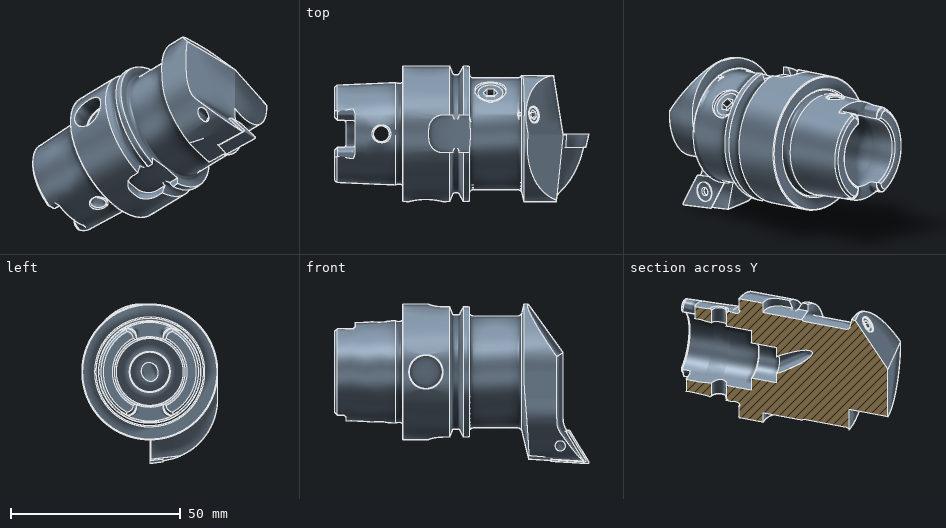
import cadquery as cq
import math

Vec = cq.Vector

SHANK_START_X = -20.0
SHANK_CHAMFER = 0.7
SHANK_TIP_RADIUS = 14.35
SHANK_ROOT_RADIUS = 15.1
SHANK_TAPER_END_X = -2.1
RELIEF_RADIUS = 14.9
FACE_RELIEF_START_X = -0.85
FACE_RELIEF_RADIUS = 16.2
FACE_RELIEF_DEPTH = 0.4
BORE_RADIUS = 10.4
BORE_MOUTH_CHAMFER = 0.6
BORE_CONE_START_X = -12.0
BORE_CONE_END_X = -6.4
INNER_BORE_RADIUS = 9.85
BORE_FLOOR_X = 4.0
COOLANT_THREAD_RADIUS = 5.8
COOLANT_THREAD_CHAMFER = 0.25
COOLANT_THREAD_END_X = 12.0
COOLANT_DUCT_RADIUS = 2.4
COOLANT_DUCT_OVERLAP = 3.0
CROSS_HOLE_X = -6.2
CROSS_HOLE_RADIUS = 2.3
CROSS_HOLE_MOUTH_RADIUS = 2.8
CROSS_HOLE_MOUTH_DEPTH = 0.5

SLOT_HALF_WIDTH = 3.95
SLOT_LIP_Z = 10.6
SLOT_LIP_RADIUS = 2.2
SLOT_FLARE_ANGLE = 14.0
SLOT_END_FILLET = 0.8
SLOT_MOUTH_CHAMFER = 0.9
TOP_SLOT_END_X = -13.9
BOTTOM_SLOT_END_X = -16.6

FLANGE_RADIUS = 20.0
FLANGE_EDGE_CHAMFER = 0.25
GROOVE_START_X = 13.9
GROOVE_ROOT_RADIUS = 17.4
GROOVE_ROOT_START_X = 15.0
GROOVE_ROOT_END_X = 16.5
GROOVE_ROOT_FILLET = 0.6
COLLAR_START_X = 17.95
COLLAR_END_X = 19.75
COLLAR_CHAMFER_LENGTH = 0.7
COLLAR_CHAMFER_HEIGHT = 0.15
POCKET_START_X = 7.75
POCKET_HALF_WIDTH = 5.55
POCKET_CORNER_RADIUS = 4.2
POCKET_FLOOR_Z = 16.87
CHIP_HOLE_X = 6.9
CHIP_HOLE_RADIUS = 5.05
CHIP_HOLE_DEPTH = 5.6
CHIP_HOLE_FLOOR_CHAMFER = 0.2

NECK_RADIUS = 16.5
NECK_FILLET = 1.1
NECK_START_X = COLLAR_END_X + NECK_FILLET
NECK_END_X = 33.9
HEAD_FILLET_LENGTH = 1.1
HEAD_FILLET_HEIGHT = 0.6

BACK_CONE_START_X = 34.9
BACK_CONE_SLOPE = 0.24
HEAD_RADIUS = 20.0
CUTTING_RADIUS = 27.0
FLAT_BOTTOM_Z = -7.86
HEEL_END_Y = -6.5
HEEL_END_Z = -25.65
LOBE_RADIUS = 15.26
LOBE_CENTER_Y = 1.9
LOBE_CENTER_Z = 4.84
LOBE_START_Y = 4.0
SEAT_FACE_Y = -0.3
NOSE_X = 47.3
SLOPE_TOP_X = 37.0
SLOPE_TOP_Z = HEAD_RADIUS
SLOPE_BOTTOM_Z = 5.7
FLARE_FILLET = 6.0
FLARE_INSET = 0.75
NEAR_SIDE_DIRECTION = Vec(-2.0, -19.7, -1.2)
FAR_SIDE_DIRECTION = Vec(-2.8, 17.4, 0.0)
SIDE_SWEEP_SCALE = 1.3
HEAD_BLANK_START_X = 33.0
HEAD_BLANK_END_X = 58.0
HEAD_BLANK_RADIUS = 30.0

TIP_REACH_X = 54.91
INSERT_EDGE = 11.6
INSERT_CORNER_ANGLE = 55.0
INSERT_THICKNESS = 3.97
INSERT_CLEARANCE_ANGLE = 7.0
INSERT_NOSE_RADIUS = 0.4
INSERT_TILT = 3.5
LAND_INSET = 0.2
SCREW_HEAD_RADIUS = 2.9
SCREW_HEAD_HEIGHT = 1.5
SCREW_SHANK_RADIUS = 1.5
SCREW_END_Y = -10.5
SCREW_SOCKET_RADIUS = 1.2
SCREW_SOCKET_DEPTH = 1.0

SET_SCREW_X = 25.9
SET_SCREW_ANGLE = 51.0
SET_SCREW_FACE_RADIUS = 15.5
SET_SCREW_RADIUS = 3.65
SET_SCREW_LENGTH = 4.0
SET_SCREW_SOCKET_WIDTH = 3.6
SET_SCREW_SOCKET_DEPTH = 2.5
SET_SCREW_MOUTH_RADIUS = 4.6

PLUG_X = 38.8
PLUG_Y = 5.65
PLUG_RADIUS = 2.2
PLUG_MOUTH_RADIUS = 2.5
PLUG_RECESS = 0.3
PLUG_LENGTH = 4.0
PLUG_SOCKET_WIDTH = 2.5
PLUG_SOCKET_DEPTH = 1.8

CLEAR = 40.0

insert_edge_angle = math.radians(180 - INSERT_TILT)
side_angle = insert_edge_angle - math.radians(INSERT_CORNER_ANGLE)
side_direction = Vec(math.cos(side_angle), 0, math.sin(side_angle))
bottom_direction = Vec(math.cos(insert_edge_angle), 0, math.sin(insert_edge_angle))
nose_center = Vec(TIP_REACH_X - INSERT_NOSE_RADIUS, 0, INSERT_NOSE_RADIUS - CUTTING_RADIUS)
corner_bisector = (side_direction + bottom_direction).normalized()
nose_distance = INSERT_NOSE_RADIUS / math.sin(math.radians(INSERT_CORNER_ANGLE / 2))
tip = nose_center - corner_bisector * nose_distance
insert_center = tip + (side_direction + bottom_direction) * (INSERT_EDGE / 2)


def revolved(points):
    """Turn an (x, radius) outline about the X axis."""
    return cq.Workplane("XY").polyline(points).close().revolve(360, (0, 0, 0), (1, 0, 0))


def rod(origin, direction, radius, length):
    return cq.Workplane(obj=cq.Solid.makeCylinder(radius, length, origin, direction))


def hex_rod(plane, width, length):
    return cq.Workplane(plane).polygon(6, width / math.cos(math.pi / 6)).extrude(length)


def make_turned_body():
    head_fillet_end_x = NECK_END_X + HEAD_FILLET_LENGTH
    outline = (
        cq.Workplane("XY")
        .moveTo(SHANK_START_X, 0)
        .lineTo(SHANK_START_X, SHANK_TIP_RADIUS - SHANK_CHAMFER)
        .lineTo(SHANK_START_X + SHANK_CHAMFER, SHANK_TIP_RADIUS)
        .lineTo(SHANK_TAPER_END_X, SHANK_ROOT_RADIUS)
        .lineTo(SHANK_TAPER_END_X + SHANK_CHAMFER, RELIEF_RADIUS)
        .lineTo(FACE_RELIEF_START_X, RELIEF_RADIUS)
        .tangentArcPoint((FACE_RELIEF_DEPTH, FACE_RELIEF_RADIUS - FACE_RELIEF_DEPTH), relative=False)
        .lineTo(0, FACE_RELIEF_RADIUS)
        .lineTo(0, FLANGE_RADIUS - FLANGE_EDGE_CHAMFER)
        .lineTo(FLANGE_EDGE_CHAMFER, FLANGE_RADIUS)
        .lineTo(COLLAR_END_X - COLLAR_CHAMFER_LENGTH, FLANGE_RADIUS)
        .lineTo(COLLAR_END_X, FLANGE_RADIUS - COLLAR_CHAMFER_HEIGHT)
        .lineTo(COLLAR_END_X, NECK_RADIUS + NECK_FILLET)
        .radiusArc((NECK_START_X, NECK_RADIUS), -NECK_FILLET)
        .lineTo(NECK_END_X, NECK_RADIUS)
        .tangentArcPoint((head_fillet_end_x, NECK_RADIUS + HEAD_FILLET_HEIGHT), relative=False)
        .lineTo(head_fillet_end_x, 0)
        .close()
    )
    return outline.revolve(360, (0, 0, 0), (1, 0, 0))


def make_gripper_groove():
    ring = revolved([
        (GROOVE_START_X, FLANGE_RADIUS),
        (GROOVE_ROOT_START_X, GROOVE_ROOT_RADIUS),
        (GROOVE_ROOT_END_X, GROOVE_ROOT_RADIUS),
        (COLLAR_START_X, FLANGE_RADIUS),
    ])
    return ring.edges(cq.selectors.RadiusNthSelector(0)).fillet(GROOVE_ROOT_FILLET)


def make_bore():
    return revolved([
        (SHANK_START_X, 0),
        (SHANK_START_X, BORE_RADIUS + BORE_MOUTH_CHAMFER),
        (SHANK_START_X + BORE_MOUTH_CHAMFER, BORE_RADIUS),
        (BORE_CONE_START_X, BORE_RADIUS),
        (BORE_CONE_END_X, INNER_BORE_RADIUS),
        (BORE_FLOOR_X, INNER_BORE_RADIUS),
        (BORE_FLOOR_X, COOLANT_THREAD_RADIUS + COOLANT_THREAD_CHAMFER),
        (BORE_FLOOR_X + COOLANT_THREAD_CHAMFER, COOLANT_THREAD_RADIUS),
        (COOLANT_THREAD_END_X, COOLANT_THREAD_RADIUS),
        (COOLANT_THREAD_END_X, 0),
    ])


def slot_outline(growth):
    """Symmetric slot section: straight walls, rounded lips, then flares to the outside."""
    wall_y = SLOT_HALF_WIDTH + growth
    lip_base_z = SLOT_LIP_Z - growth
    flare_angle = math.radians(SLOT_FLARE_ANGLE)
    flare_start_y = wall_y + SLOT_LIP_RADIUS * (1 + math.sin(flare_angle))
    flare_start_z = lip_base_z + SLOT_LIP_RADIUS * math.cos(flare_angle)
    flare_end_z = flare_start_z - (FLANGE_RADIUS - flare_start_y) * math.tan(flare_angle)
    return (
        cq.Workplane("YZ", origin=(SHANK_START_X, 0, 0))
        .moveTo(0, 0)
        .lineTo(wall_y, 0)
        .lineTo(wall_y, lip_base_z)
        .radiusArc((flare_start_y, flare_start_z), SLOT_LIP_RADIUS)
        .lineTo(FLANGE_RADIUS, flare_end_z)
        .lineTo(FLANGE_RADIUS, FLANGE_RADIUS)
        .lineTo(0, FLANGE_RADIUS)
        .mirrorY()
    )


def make_drive_slot(end_x, side):
    """Slot through one wall of the shank mouth, its edges rounded and flared outward."""
    inner_edges = "(not <Y) and (not >Y) and (not <Z) and (not >Z)"
    slot = slot_outline(0).extrude(end_x - SHANK_START_X)
    slot = slot.faces(">X").edges(inner_edges).fillet(SLOT_END_FILLET)
    slot = slot.union(slot_outline(SLOT_MOUTH_CHAMFER).extrude(SLOT_MOUTH_CHAMFER, taper=45))
    return slot if side > 0 else slot.mirror("XY")


def make_cross_hole():
    hole = rod(Vec(CROSS_HOLE_X, 0, -CLEAR), Vec(0, 0, 1), CROSS_HOLE_RADIUS, 2 * CLEAR)
    mouth_z = SHANK_ROOT_RADIUS - CROSS_HOLE_MOUTH_DEPTH
    for side in (1, -1):
        mouth = cq.Solid.makeCone(
            CROSS_HOLE_RADIUS, CROSS_HOLE_MOUTH_RADIUS, CROSS_HOLE_MOUTH_DEPTH,
            Vec(CROSS_HOLE_X, 0, side * (mouth_z - CROSS_HOLE_MOUTH_DEPTH / 2)), Vec(0, 0, side),
        )
        hole = hole.union(cq.Workplane(obj=mouth))
    return hole


def make_flange_pocket(side):
    """Round-cornered flat pocket that runs out through the collar."""
    length = COLLAR_END_X + NECK_FILLET - POCKET_START_X
    pocket = (
        cq.Workplane("XY", origin=(POCKET_START_X + length / 2, 0, POCKET_FLOOR_Z))
        .rect(length, 2 * POCKET_HALF_WIDTH)
        .extrude(FLANGE_RADIUS - POCKET_FLOOR_Z + 1)
        .edges("|Z and <X").fillet(POCKET_CORNER_RADIUS)
    )
    return pocket if side > 0 else pocket.mirror("XY")


def make_chip_hole():
    floor_y = CHIP_HOLE_DEPTH - FLANGE_RADIUS
    hole = rod(Vec(CHIP_HOLE_X, floor_y, 0), Vec(0, -1, 0), CHIP_HOLE_RADIUS, CLEAR)
    return hole.faces(">Y").chamfer(CHIP_HOLE_FLOOR_CHAMFER)


def make_head_prism():
    """Head cross-section: relief arc, flat, head circle and a smaller lobe on the +Y side."""
    lobe_start_z = LOBE_CENTER_Z + math.sqrt(LOBE_RADIUS ** 2 - (LOBE_START_Y - LOBE_CENTER_Y) ** 2)
    lobe_end_z = LOBE_CENTER_Z - math.sqrt(LOBE_RADIUS ** 2 - (SEAT_FACE_Y - LOBE_CENTER_Y) ** 2)
    arc_width = HEAD_RADIUS + HEEL_END_Y
    arc_height = FLAT_BOTTOM_Z - HEEL_END_Z
    relief_radius = (arc_width ** 2 + arc_height ** 2) / (2 * arc_width)
    relief_middle = (
        -HEAD_RADIUS + relief_radius * (1 - math.sqrt(0.5)),
        FLAT_BOTTOM_Z - relief_radius * math.sqrt(0.5),
    )
    diagonal = HEAD_RADIUS * math.sqrt(0.5)
    return (
        cq.Workplane("YZ", origin=(HEAD_BLANK_START_X, 0, 0))
        .moveTo(-HEAD_RADIUS, 0)
        .threePointArc((-diagonal, diagonal), (0, HEAD_RADIUS))
        .lineTo(LOBE_START_Y, lobe_start_z)
        .threePointArc((LOBE_CENTER_Y + LOBE_RADIUS, LOBE_CENTER_Z), (SEAT_FACE_Y, lobe_end_z))
        .lineTo(SEAT_FACE_Y, -CUTTING_RADIUS)
        .lineTo(HEEL_END_Y, HEEL_END_Z)
        .threePointArc(relief_middle, (-HEAD_RADIUS, FLAT_BOTTOM_Z))
        .close()
        .extrude(HEAD_BLANK_END_X - HEAD_BLANK_START_X)
    )


def make_back_cone():
    return revolved([
        (BACK_CONE_START_X, 0),
        (BACK_CONE_START_X, NECK_RADIUS),
        (BACK_CONE_START_X + (HEAD_BLANK_RADIUS - NECK_RADIUS) * BACK_CONE_SLOPE, HEAD_BLANK_RADIUS),
        (HEAD_BLANK_END_X, HEAD_BLANK_RADIUS),
        (HEAD_BLANK_END_X, 0),
    ])


def make_head_side(direction):
    """Side outline of the head in the seat plane, swept along one slanting direction."""
    slope_run = (NOSE_X - SLOPE_TOP_X) / (SLOPE_TOP_Z - SLOPE_BOTTOM_Z)
    top_z = SLOPE_TOP_Z + NOSE_X - SLOPE_TOP_X
    flare_normal = Vec(-side_direction.z, 0, side_direction.x)
    flare_point = tip + flare_normal * FLARE_INSET
    run = side_direction.x / side_direction.z
    flare_top_z = flare_point.z + (NOSE_X - flare_point.x) / run
    flare_bottom_z = -HEAD_BLANK_RADIUS
    fillet_tangent = FLARE_FILLET * math.tan((side_angle - math.pi / 2) / 2)
    fillet_end = Vec(NOSE_X, 0, flare_top_z) - side_direction * fillet_tangent
    outline = (
        cq.Workplane("XZ", origin=(0, SEAT_FACE_Y, 0))
        .moveTo(HEAD_BLANK_START_X, flare_bottom_z)
        .lineTo(HEAD_BLANK_START_X, top_z)
        .lineTo(SLOPE_TOP_X - (top_z - SLOPE_TOP_Z) * slope_run, top_z)
        .lineTo(NOSE_X, SLOPE_BOTTOM_Z)
        .lineTo(NOSE_X, flare_top_z + fillet_tangent)
        .tangentArcPoint((fillet_end.x, fillet_end.z), relative=False)
        .lineTo(flare_point.x + (flare_bottom_z - flare_point.z) * run, flare_bottom_z)
        .close()
    )
    return cq.Workplane(obj=cq.Solid.extrudeLinear(outline.val(), [], direction * SIDE_SWEEP_SCALE))


def make_land_cutter():
    """Everything below the land that carries on the lower insert flank."""
    flank_rise = Vec(0, -1, math.tan(math.radians(INSERT_CLEARANCE_ANGLE)))
    plane = cq.Plane(
        origin=tip + Vec(0, 0, LAND_INSET),
        xDir=bottom_direction,
        normal=flank_rise.cross(bottom_direction),
    )
    return cq.Workplane(plane).rect(3 * CLEAR, 3 * CLEAR).extrude(CLEAR)


def make_head():
    sides = make_head_side(NEAR_SIDE_DIRECTION).union(make_head_side(FAR_SIDE_DIRECTION))
    head = make_head_prism().intersect(make_back_cone()).intersect(sides)
    return head.cut(make_land_cutter())


def make_insert_blank():
    """Rhombic plate with relieved flanks and rounded corners, its cutting face at Y = 0."""
    bottom_edge = bottom_direction * INSERT_EDGE
    side_edge = side_direction * INSERT_EDGE
    corners = [tip, tip + bottom_edge, tip + bottom_edge + side_edge, tip + side_edge]
    return (
        cq.Workplane("XZ")
        .polyline([(corner.x, corner.z) for corner in corners]).close()
        .extrude(INSERT_THICKNESS, taper=INSERT_CLEARANCE_ANGLE)
        .edges("(not <Y) and (not >Y)").fillet(INSERT_NOSE_RADIUS)
    )


def make_screw_blank():
    head = cq.Solid.makeCone(
        SCREW_HEAD_RADIUS, SCREW_SHANK_RADIUS, SCREW_HEAD_HEIGHT,
        insert_center + Vec(0, SEAT_FACE_Y, 0), Vec(0, -1, 0),
    )
    shank = rod(insert_center + Vec(0, SEAT_FACE_Y, 0), Vec(0, -1, 0),
                SCREW_SHANK_RADIUS, SEAT_FACE_Y - SCREW_END_Y)
    return shank.union(cq.Workplane(obj=head))


def make_screw_hole():
    """Hole for the insert screw, its threaded part running out through the head."""
    return make_screw_blank().union(
        rod(insert_center, Vec(0, -1, 0), SCREW_SHANK_RADIUS, CLEAR)
    ).union(rod(insert_center, Vec(0, -1, 0), SCREW_HEAD_RADIUS, -SEAT_FACE_Y))


set_screw_axis = Vec(0, math.sin(math.radians(SET_SCREW_ANGLE)), math.cos(math.radians(SET_SCREW_ANGLE)))
set_screw_face = Vec(SET_SCREW_X, 0, 0) + set_screw_axis * SET_SCREW_FACE_RADIUS

slope_direction = Vec(NOSE_X - SLOPE_TOP_X, 0, SLOPE_BOTTOM_Z - SLOPE_TOP_Z)
plug_axis = FAR_SIDE_DIRECTION.cross(slope_direction).normalized() * -1
slope_top = Vec(SLOPE_TOP_X, SEAT_FACE_Y, SLOPE_TOP_Z)
plug_offset = Vec(PLUG_X, PLUG_Y, 0) - slope_top
plug_mouth = slope_top + Vec(
    plug_offset.x,
    plug_offset.y,
    -(plug_offset.x * plug_axis.x + plug_offset.y * plug_axis.y) / plug_axis.z,
)
plug_face = plug_mouth - plug_axis * PLUG_RECESS


def make_set_screw_blank():
    return rod(set_screw_face, set_screw_axis * -1, SET_SCREW_RADIUS, SET_SCREW_LENGTH)


def make_plug_blank():
    return rod(plug_face, plug_axis * -1, PLUG_RADIUS, PLUG_LENGTH)


def make_coolant_duct():
    """Slanting duct from the end of the threaded hole to the inner end of the plug."""
    start = Vec(COOLANT_THREAD_END_X, 0, 0)
    end = plug_face - plug_axis * PLUG_LENGTH
    direction = (end - start).normalized()
    return rod(start - direction * COOLANT_DUCT_OVERLAP, direction, COOLANT_DUCT_RADIUS,
               (end - start).Length + COOLANT_DUCT_OVERLAP)


def make_holder():
    holder = make_turned_body().cut(make_gripper_groove()).union(make_head())
    holder = holder.cut(make_bore()).cut(make_cross_hole()).cut(make_chip_hole())
    for side, slot_end_x in ((1, TOP_SLOT_END_X), (-1, BOTTOM_SLOT_END_X)):
        holder = holder.cut(make_drive_slot(slot_end_x, side)).cut(make_flange_pocket(side))
    holder = holder.cut(make_insert_blank()).cut(make_screw_hole())
    holder = holder.cut(make_set_screw_blank())
    holder = holder.cut(rod(set_screw_face, set_screw_axis, SET_SCREW_MOUTH_RADIUS, SET_SCREW_RADIUS))
    holder = holder.cut(make_plug_blank()).cut(make_coolant_duct())
    return holder.cut(rod(plug_face, plug_axis, PLUG_MOUTH_RADIUS, CLEAR))


def make_insert():
    return make_insert_blank().cut(make_screw_hole())


def make_insert_screw():
    socket = rod(insert_center, Vec(0, -1, 0), SCREW_SOCKET_RADIUS, SCREW_SOCKET_DEPTH - SEAT_FACE_Y)
    return make_screw_blank().cut(socket)


def make_set_screw():
    socket_plane = cq.Plane(origin=set_screw_face, xDir=Vec(1, 0, 0), normal=set_screw_axis)
    return make_set_screw_blank().cut(
        hex_rod(socket_plane, SET_SCREW_SOCKET_WIDTH, -SET_SCREW_SOCKET_DEPTH)
    )


def make_plug():
    socket_plane = cq.Plane(origin=plug_face, xDir=FAR_SIDE_DIRECTION, normal=plug_axis)
    return make_plug_blank().cut(hex_rod(socket_plane, PLUG_SOCKET_WIDTH, -PLUG_SOCKET_DEPTH))


holder = make_holder()
insert = make_insert()
insert_screw = make_insert_screw()
set_screw = make_set_screw()
plug = make_plug()

result = cq.Compound.makeCompound([
    holder.val(),
    insert.val(),
    insert_screw.val(),
    set_screw.val(),
    plug.val(),
])